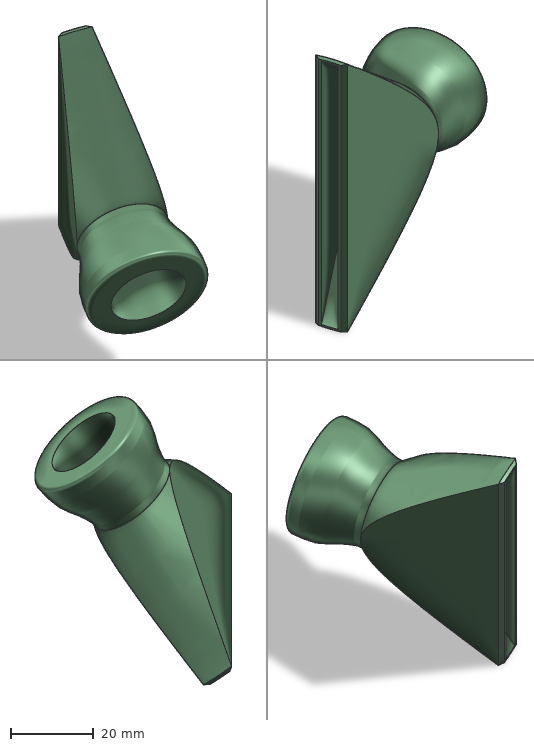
import cadquery as cq

length = 53.7
mouth_radius = 39.8
lip_end_radius = 39.45
lip_length = 0.95
lip_half_width = 3.0
fan_half_width = 4.3
fan_end = 34.85
neck_radius = 11.6
neck_end = 36.7

flare_middle = 43.8
flare_middle_radius = 14.2
flare_end = 49.6
socket_radius = 15.55
rim_fillet = 1.3
flare_in_bulge = 0.2
flare_out_bulge = 0.36

bore_radius = 9.585
slot_half_width = 2.27
slot_half_height = 38.9


def revolve_about_x(profile):
    return profile.close().revolve(360, (0, 0, 0), (1, 0, 0))


def symmetric_wedge(upper_edge):
    """Prism along Z, bounded by the given edge and its mirror across y = 0."""
    lower_edge = [(x, -y) for x, y in reversed(upper_edge)]
    outline = cq.Workplane("XY").polyline(upper_edge + lower_edge).close()
    return outline.extrude(mouth_radius + 0.8, both=True)


def arc_middle(start, end, bulge):
    """Point on an arc, offset from its chord's middle towards larger radius."""
    return ((start[0] + end[0]) / 2, (start[1] + end[1]) / 2 + bulge)


def make_fan():
    """Cone trimmed by two sloping flat faces and a chamfered lip."""
    cone = revolve_about_x(
        cq.Workplane("XY")
        .polyline([
            (0, 0),
            (0, lip_end_radius),
            (lip_length, mouth_radius),
            (fan_end, neck_radius),
            (fan_end, 0),
        ])
    )
    return cone.intersect(symmetric_wedge([
        (0, lip_half_width),
        (lip_length, fan_half_width),
        (fan_end, neck_radius),
    ]))


def make_socket():
    """Cylindrical neck, S-shaped flare and rounded cylindrical rim."""
    neck = (neck_end, neck_radius)
    middle = (flare_middle, flare_middle_radius)
    rim = (flare_end, socket_radius)
    body = revolve_about_x(
        cq.Workplane("XY")
        .moveTo(fan_end, 0)
        .lineTo(fan_end, neck_radius)
        .lineTo(*neck)
        .threePointArc(arc_middle(neck, middle, -flare_in_bulge), middle)
        .threePointArc(arc_middle(middle, rim, flare_out_bulge), rim)
        .lineTo(length, socket_radius)
        .lineTo(length, 0)
    )
    return body.faces(">X").edges().fillet(rim_fillet)


def make_passage():
    """Slot-shaped funnel narrowing in height to a round bore."""
    funnel = revolve_about_x(
        cq.Workplane("XY")
        .polyline([
            (0, 0),
            (0, slot_half_height),
            (fan_end, bore_radius),
            (fan_end, 0),
        ])
    )
    slot = symmetric_wedge([(0, slot_half_width), (fan_end, bore_radius)])
    bore = cq.Workplane("YZ", origin=(fan_end, 0, 0)).circle(bore_radius).extrude(length - fan_end)
    return funnel.intersect(slot).union(bore)


result = make_fan().union(make_socket()).cut(make_passage())